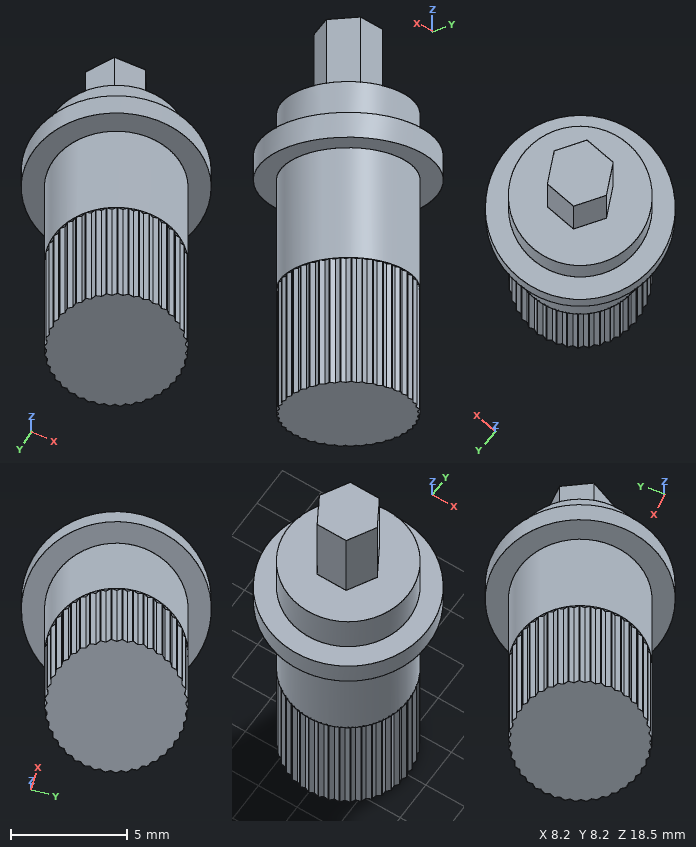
import cadquery as cq
import math

total_height = 18.5
knurl_height = 6.0
flange_height = 1.2
collar_height = 2.0
hex_height = 4.0
shank_height = total_height - knurl_height - flange_height - collar_height - hex_height

flange_diameter = 8.2
body_diameter = 6.2
hex_across_corners = 3.0

tooth_count = 41
groove_depth = 0.1
land_width = 0.04
first_tooth_angle = -90.0


def polar_point(radius, angle):
    """XY point at a radius and an angle in degrees."""
    return (radius * math.cos(math.radians(angle)), radius * math.sin(math.radians(angle)))


def make_knurl():
    """Toothed lower end, standing on the XY plane."""
    tip_radius = body_diameter / 2
    root_radius = tip_radius - groove_depth
    pitch_angle = 360 / tooth_count
    half_land_angle = math.degrees(land_width / 2 / tip_radius)

    outline = cq.Workplane("XY").moveTo(*polar_point(tip_radius, first_tooth_angle - half_land_angle))
    for tooth in range(tooth_count):
        tip_angle = first_tooth_angle + tooth * pitch_angle
        land_middle = polar_point(tip_radius, tip_angle)
        land_end = polar_point(tip_radius, tip_angle + half_land_angle)
        root = polar_point(root_radius, tip_angle + pitch_angle / 2)
        next_land_start = polar_point(tip_radius, tip_angle + pitch_angle - half_land_angle)
        outline = outline.threePointArc(land_middle, land_end).lineTo(*root).lineTo(*next_land_start)
    return outline.close().extrude(knurl_height)


def add_cylinder(part, diameter, height):
    """Stack a cylinder on the top face."""
    return part.faces(">Z").workplane(origin=(0, 0, 0)).circle(diameter / 2).extrude(height)


def add_hexagon(part, across_corners, height):
    """Stack a hexagonal prism on the top face, with two corners along X."""
    return part.faces(">Z").workplane(origin=(0, 0, 0)).polygon(6, across_corners).extrude(height)


result = make_knurl()
result = add_cylinder(result, body_diameter, shank_height)
result = add_cylinder(result, flange_diameter, flange_height)
result = add_cylinder(result, body_diameter, collar_height)
result = add_hexagon(result, hex_across_corners, hex_height)